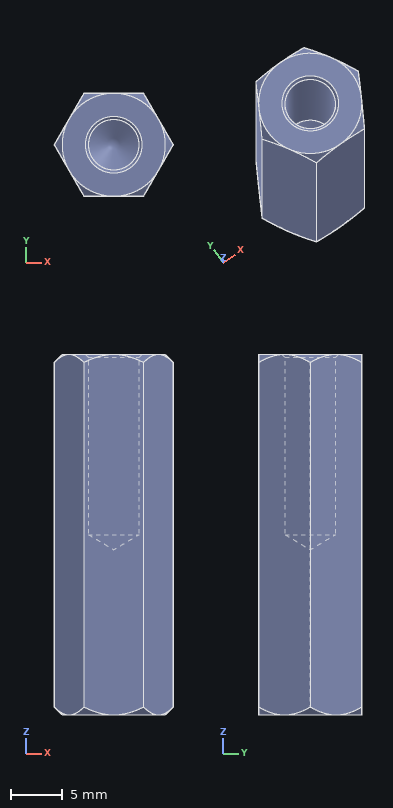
import cadquery as cq
import math

length = 35.0
across_flats = 10.0
hole_diameter = 4.9
hole_depth = 17.5
drill_point_angle = 118.0
mouth_diameter = 5.5
mouth_chamfer_angle = 45.0
corner_chamfer_angle = 45.0

across_corners = across_flats / math.cos(math.radians(30))
flat_radius = across_flats / 2
corner_radius = across_corners / 2
hole_radius = hole_diameter / 2
mouth_radius = mouth_diameter / 2
corner_drop = (corner_radius - flat_radius) * math.tan(math.radians(corner_chamfer_angle))
mouth_depth = (mouth_radius - hole_radius) * math.tan(math.radians(mouth_chamfer_angle))
drill_tip_height = hole_radius / math.tan(math.radians(drill_point_angle / 2))


def hex_bar():
    """Hexagonal bar standing on Z = 0, with two corners on the X axis."""
    return cq.Workplane("XY").polygon(6, across_corners).extrude(length)


def turned_envelope():
    """Cylinder through the hex corners, coned at both ends to the flat-to-flat circle."""
    return (
        cq.Workplane("XZ")
        .moveTo(0, 0)
        .lineTo(flat_radius, 0)
        .lineTo(corner_radius, corner_drop)
        .lineTo(corner_radius, length - corner_drop)
        .lineTo(flat_radius, length)
        .lineTo(0, length)
        .close()
        .revolve(360, (0, 0, 0), (0, 1, 0))
    )


def blind_hole():
    """Drilled hole from the top face, with a conical bottom and a countersunk mouth."""
    hole_bottom = length - hole_depth
    return (
        cq.Workplane("XZ")
        .moveTo(0, length)
        .lineTo(mouth_radius, length)
        .lineTo(hole_radius, length - mouth_depth)
        .lineTo(hole_radius, hole_bottom)
        .lineTo(0, hole_bottom - drill_tip_height)
        .close()
        .revolve(360, (0, 0, 0), (0, 1, 0))
    )


result = hex_bar().intersect(turned_envelope()).cut(blind_hole())